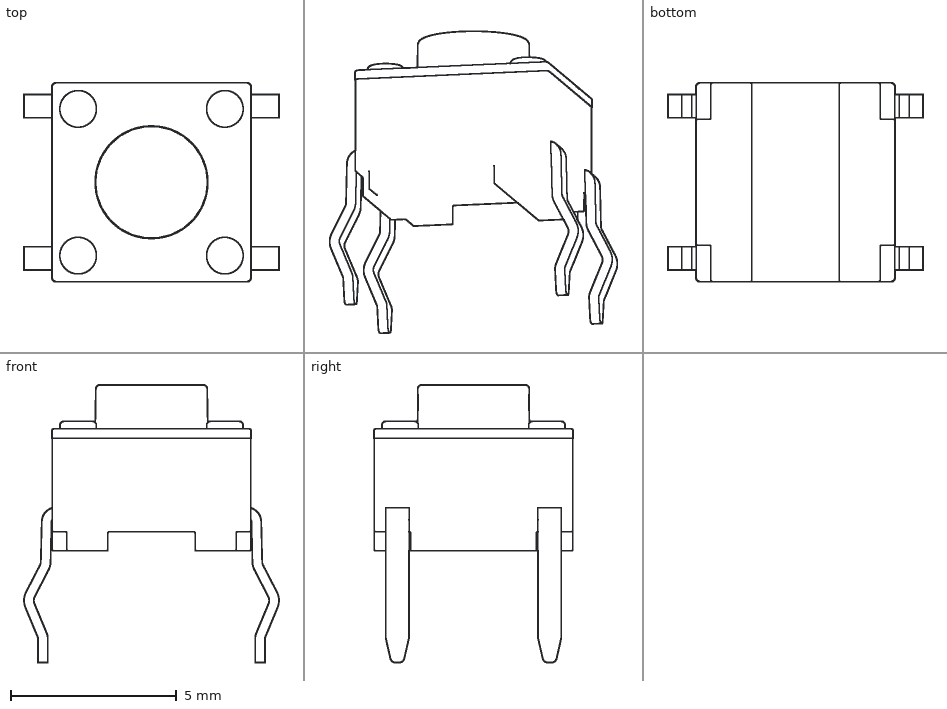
import cadquery as cq
import math

cover_side = 6.01
cover_thickness = 0.285
cover_overhang = 0.01
cover_rim_radius = 0.07
body_side = cover_side - 2 * cover_overhang
body_height = 3.69
upright_edge_radius = 0.125

underside_cut_height = 0.58
underside_edge_radius = 0.04
slot_width = 2.63
notch_x = 0.44
notch_y = 1.1

button_top = 5.01
button_base_radius = 1.7
button_draft_angle = 0.8
button_edge_radius = 0.125

rivet_radius = 0.55
rivet_height = 0.23
rivet_edge_radius = 0.125
rivet_offset = 2.21

leg_thickness = 0.3
leg_width = 0.7
leg_offset_y = 2.3
leg_embedding = 0.335
leg_entry_z = 1.17
leg_entry_x = (cover_side + leg_thickness) / 2
leg_neck_x = 3.19
leg_neck_z = -0.42
leg_knee_x = 3.74
leg_knee_z = -1.475
leg_tip_x = 3.28
leg_ankle_z = -2.58
leg_bottom_z = button_top - 8.38
entry_bend_radius = 0.3
neck_bend_radius = 0.38
ankle_bend_radius = 0.25
knee_bend_radius = 0.4

tip_taper_start_z = -2.63
tip_end_width = 0.37
tip_corner_radius = 0.17


def make_rounded_block(side, bottom_z, top_z):
    """Square block centred on the Z axis with rounded upright edges."""
    block = cq.Workplane("XY").workplane(offset=bottom_z).rect(side, side).extrude(top_z - bottom_z)
    return block.edges("|Z").fillet(upright_edge_radius)


def cut_underside(body):
    """Channel along Y and four corner notches, with every edge of them rounded."""
    cut_depth = 2 * underside_cut_height
    body = body.cut(cq.Workplane("XY").box(slot_width, 2 * body_side, cut_depth))
    notches = (
        cq.Workplane("XY")
        .rect(body_side, body_side, forConstruction=True)
        .vertices()
        .box(2 * notch_x, 2 * notch_y, cut_depth)
    )
    body = body.cut(notches)
    underside_zone = cq.selectors.BoxSelector(
        (-body_side, -body_side, -underside_edge_radius),
        (body_side, body_side, underside_cut_height + underside_edge_radius),
    )
    return body.edges(underside_zone).fillet(underside_edge_radius)


def make_housing():
    """Lower body with its channel and notches, closed by the rounded cover plate."""
    cover_bottom = body_height - cover_thickness
    body = cut_underside(make_rounded_block(body_side, 0, cover_bottom))
    cover = make_rounded_block(cover_side, cover_bottom, body_height)
    cover = cover.faces(">Z").edges().fillet(cover_rim_radius)
    return body.union(cover)


def make_button():
    """Slightly conical button with a rounded rim."""
    button_height = button_top - body_height
    button = (
        cq.Workplane("XY")
        .workplane(offset=body_height)
        .circle(button_base_radius)
        .extrude(button_height, taper=button_draft_angle)
    )
    return button.faces(">Z").edges().fillet(button_edge_radius)


def make_rivets():
    """Four rounded rivet heads near the corners of the housing top."""
    rivets = (
        cq.Workplane("XY")
        .workplane(offset=body_height)
        .rect(2 * rivet_offset, 2 * rivet_offset, forConstruction=True)
        .vertices()
        .circle(rivet_radius)
        .extrude(rivet_height)
    )
    return rivets.faces(">Z").edges().fillet(rivet_edge_radius)


def bend_edge_points(corner, before, after, radius, side):
    """Start, middle and end of the arc one surface of the strip follows round a bend.

    `radius` belongs to the centre line; `side` is +1 for the surface on the left
    of the travel direction and -1 for the surface on the right.
    """
    heading_in = math.atan2(corner[1] - before[1], corner[0] - before[0])
    heading_out = math.atan2(after[1] - corner[1], after[0] - corner[0])
    turn = heading_out - heading_in
    turn_sign = math.copysign(1, turn)

    setback = radius * math.tan(abs(turn) / 2)
    start_x = corner[0] - setback * math.cos(heading_in)
    start_z = corner[1] - setback * math.sin(heading_in)
    centre_x = start_x - turn_sign * radius * math.sin(heading_in)
    centre_z = start_z + turn_sign * radius * math.cos(heading_in)

    surface_radius = radius - turn_sign * side * leg_thickness / 2
    points = []
    for fraction in (0, 0.5, 1):
        heading = heading_in + fraction * turn
        x = centre_x + turn_sign * surface_radius * math.sin(heading)
        z = centre_z - turn_sign * surface_radius * math.cos(heading)
        points.append((x, z))
    return points


def make_leg():
    """Bent strip leg of the +X, +Y corner with a tapered tip."""
    half_thickness = leg_thickness / 2
    path = [
        (body_side / 2 - leg_embedding, leg_entry_z),
        (leg_entry_x, leg_entry_z),
        (leg_neck_x, leg_neck_z),
        (leg_knee_x, leg_knee_z),
        (leg_tip_x, leg_ankle_z),
        (leg_tip_x, leg_bottom_z),
    ]
    radii = [entry_bend_radius, neck_bend_radius, knee_bend_radius, ankle_bend_radius]

    root_x, root_z = path[0]
    outer_arcs = []
    inner_arcs = []
    for before, corner, after, radius in zip(path, path[1:], path[2:], radii):
        outer_arcs.append(bend_edge_points(corner, before, after, radius, 1))
        inner_arcs.append(bend_edge_points(corner, before, after, radius, -1))

    profile = cq.Workplane("XZ").moveTo(root_x, root_z + half_thickness)
    for start, middle, end in outer_arcs:
        profile = profile.lineTo(*start).threePointArc(middle, end)
    profile = profile.lineTo(leg_tip_x + half_thickness, leg_bottom_z)
    profile = profile.lineTo(leg_tip_x - half_thickness, leg_bottom_z)
    for start, middle, end in reversed(inner_arcs):
        profile = profile.lineTo(*end).threePointArc(middle, start)
    profile = profile.lineTo(root_x, root_z - half_thickness).close()
    strip = profile.extrude(leg_width / 2, both=True)

    outline = (
        cq.Workplane("YZ")
        .moveTo(-leg_width / 2, body_height)
        .lineTo(leg_width / 2, body_height)
        .lineTo(leg_width / 2, tip_taper_start_z)
        .lineTo(tip_end_width / 2, leg_bottom_z)
        .lineTo(-tip_end_width / 2, leg_bottom_z)
        .lineTo(-leg_width / 2, tip_taper_start_z)
        .close()
        .extrude(body_side)
        .faces("<Z")
        .edges("|X")
        .fillet(tip_corner_radius)
    )
    return strip.intersect(outline).translate((0, leg_offset_y, 0))


result = make_housing().union(make_button()).union(make_rivets())

leg_pair = make_leg()
leg_pair = leg_pair.union(leg_pair.mirror("XZ"))
result = result.union(leg_pair).union(leg_pair.mirror("YZ"))